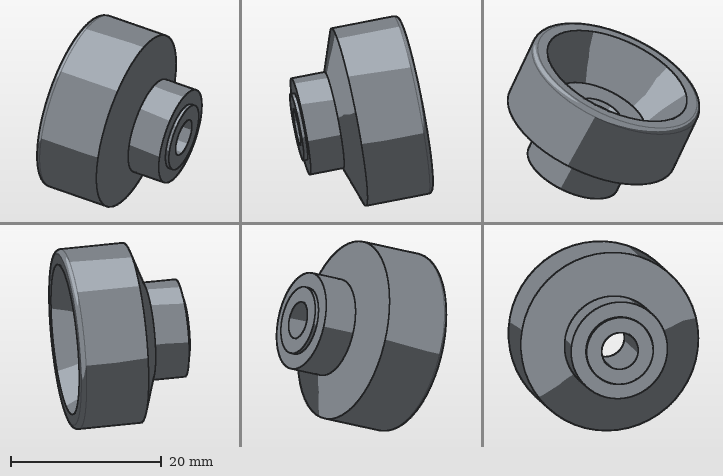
import cadquery as cq

rim_diameter = 24.0
rim_length = 9.0
rim_fillet = 0.6
hub_diameter = 13.0
hub_start = 11.0
hub_end = 15.5
boss_diameter = 9.0
total_length = 16.0
recess_mouth_diameter = 20.0
recess_floor_diameter = hub_diameter
recess_depth = 6.0
bore_diameter = 4.92
bore_mouth_diameter = 6.0

rim_radius = rim_diameter / 2
hub_radius = hub_diameter / 2
boss_radius = boss_diameter / 2
bore_radius = bore_diameter / 2
bore_mouth_radius = bore_mouth_diameter / 2
bore_chamfer = bore_mouth_radius - bore_radius

half_section = (
    cq.Workplane("XY")
    .moveTo(total_length, bore_radius)
    .lineTo(total_length, boss_radius)
    .lineTo(hub_end, boss_radius)
    .lineTo(hub_end, hub_radius)
    .lineTo(hub_start, hub_radius)
    .lineTo(rim_length, rim_radius)
    .lineTo(rim_fillet, rim_radius)
    .radiusArc((0, rim_radius - rim_fillet), -rim_fillet)
    .lineTo(0, recess_mouth_diameter / 2)
    .lineTo(recess_depth, recess_floor_diameter / 2)
    .lineTo(recess_depth, bore_mouth_radius)
    .lineTo(recess_depth + bore_chamfer, bore_radius)
    .close()
)

result = half_section.revolve(360, (0, 0, 0), (1, 0, 0))